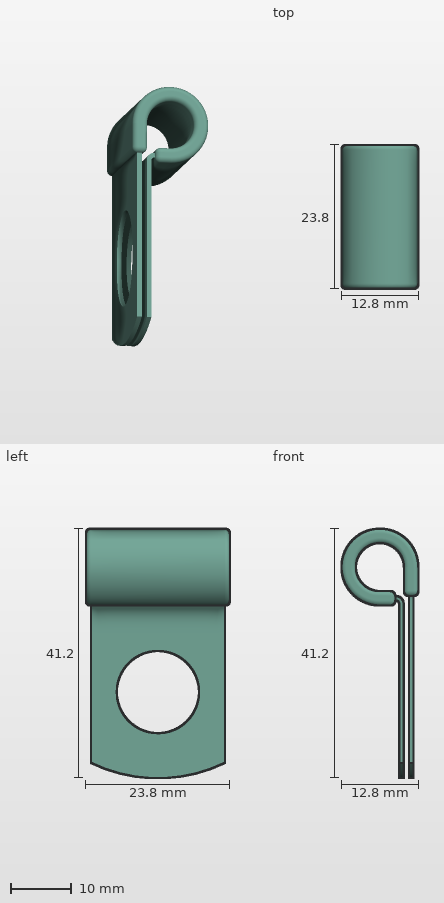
import cadquery as cq
import math

height = 41.25
loop_diameter = 12.75
cushion_width = 23.8
strap_thickness = 0.8
cushion_cover = 0.83
cushion_rounding = cushion_cover
leg_gap = 0.83
bend_inner_radius = 0.5
upper_tail = 4.8
lower_tail = 2.55
hole_diameter = 13.55
slot_length = 15.93
hole_drop = 20.65
end_sag = 2.55

outer_radius = loop_diameter / 2
cushion_thickness = strap_thickness + 2 * cushion_cover
strap_width = cushion_width - 2 * cushion_cover
strap_outer_radius = outer_radius - cushion_cover
strap_inner_radius = strap_outer_radius - strap_thickness
bottom_z = outer_radius - height
inner_leg_right = strap_inner_radius - leg_gap
bend_outer_radius = bend_inner_radius + strap_thickness
bend_x = inner_leg_right - bend_outer_radius
bend_z = -strap_inner_radius - bend_outer_radius


def quarter_point(radius):
    """Point on the loop, up and to the left of its centre."""
    return (-radius * math.cos(math.pi / 4), radius * math.sin(math.pi / 4))


def extrude_profile(profile, width):
    return profile.close().extrude(width / 2, both=True)


def make_cushion():
    inner_radius = outer_radius - cushion_thickness
    profile = (
        cq.Workplane("XZ")
        .moveTo(outer_radius, -upper_tail)
        .lineTo(outer_radius, 0)
        .threePointArc(quarter_point(outer_radius), (0, -outer_radius))
        .lineTo(lower_tail, -outer_radius)
        .lineTo(lower_tail, -inner_radius)
        .lineTo(0, -inner_radius)
        .threePointArc(quarter_point(inner_radius), (inner_radius, 0))
        .lineTo(inner_radius, -upper_tail)
    )
    return extrude_profile(profile, cushion_width).edges("#Y or |Y").fillet(cushion_rounding)


def make_strap():
    bend_diagonal = math.sin(math.pi / 4)
    outer_bend_mid = (bend_x + bend_outer_radius * bend_diagonal, bend_z + bend_outer_radius * bend_diagonal)
    inner_bend_mid = (bend_x + bend_inner_radius * bend_diagonal, bend_z + bend_inner_radius * bend_diagonal)
    profile = (
        cq.Workplane("XZ")
        .moveTo(strap_outer_radius, bottom_z)
        .lineTo(strap_outer_radius, 0)
        .threePointArc(quarter_point(strap_outer_radius), (0, -strap_outer_radius))
        .lineTo(bend_x, -strap_outer_radius)
        .threePointArc(inner_bend_mid, (bend_x + bend_inner_radius, bend_z))
        .lineTo(bend_x + bend_inner_radius, bottom_z)
        .lineTo(inner_leg_right, bottom_z)
        .lineTo(inner_leg_right, bend_z)
        .threePointArc(outer_bend_mid, (bend_x, -strap_inner_radius))
        .lineTo(0, -strap_inner_radius)
        .threePointArc(quarter_point(strap_inner_radius), (strap_inner_radius, 0))
        .lineTo(strap_inner_radius, bottom_z)
    )
    return extrude_profile(profile, strap_width)


def make_side_outline():
    """Block with the curved lower end that both legs are trimmed to."""
    half_width = strap_width / 2
    corner_z = bottom_z + end_sag
    profile = (
        cq.Workplane("YZ")
        .moveTo(-half_width, outer_radius)
        .lineTo(-half_width, corner_z)
        .threePointArc((0, bottom_z), (half_width, corner_z))
        .lineTo(half_width, outer_radius)
    )
    return extrude_profile(profile, 2 * loop_diameter)


def make_inner_leg_hole():
    return (
        cq.Workplane("YZ")
        .center(0, -hole_drop)
        .circle(hole_diameter / 2)
        .extrude(inner_leg_right + leg_gap / 2)
    )


def make_outer_leg_slot():
    return (
        cq.Workplane("YZ", origin=(inner_leg_right + leg_gap / 2, 0, 0))
        .center(0, -hole_drop)
        .slot2D(slot_length, hole_diameter, 90)
        .extrude(loop_diameter)
    )


strap = make_strap().intersect(make_side_outline())
strap = strap.cut(make_inner_leg_hole()).cut(make_outer_leg_slot())
result = make_cushion().union(strap)